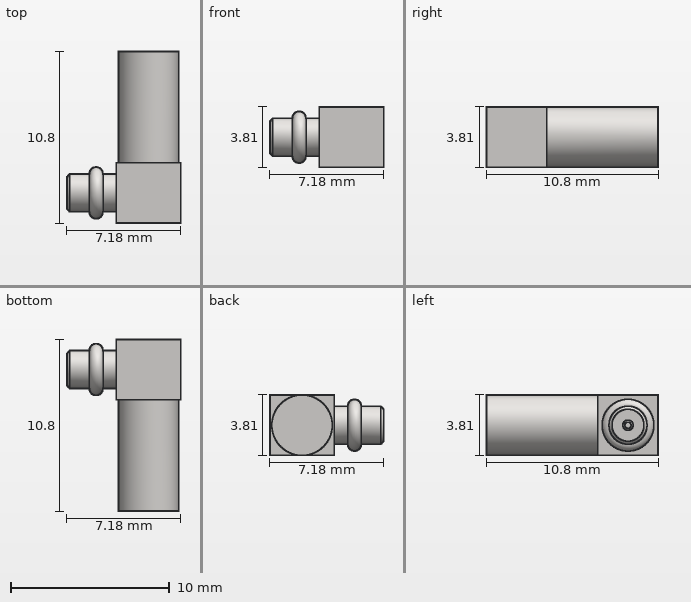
import cadquery as cq

block_size = 3.81
block_length = 4.07

total_length = 10.82
barrel_radius = block_size / 2
barrel_length = total_length - block_size

total_width = 7.18
nozzle_length = total_width - block_length
nozzle_radius = 1.2
nozzle_chamfer = 0.2
bore_radius = nozzle_radius - nozzle_chamfer
bore_depth = 1.3

ring_section_radius = 0.43
ring_offset = 1.85

pin_radius = 0.32
pin_tip_chamfer = 0.13
pin_length = 0.65

nozzle_tip = -nozzle_length
ring_position = nozzle_tip + ring_offset
bore_floor = nozzle_tip + bore_depth
pin_tip = bore_floor - pin_length


def rod_along_x(start, length, radius):
    """Cylinder on the nozzle axis, running towards +X from start."""
    return cq.Workplane("YZ", origin=(start, 0, 0)).circle(radius).extrude(length)


def make_ring():
    """Full torus around the nozzle axis."""
    return (
        cq.Workplane("XZ")
        .center(ring_position, nozzle_radius)
        .circle(ring_section_radius)
        .revolve(360, (0, -nozzle_radius), (1, -nozzle_radius))
    )


def make_pin():
    """Contact pin with a bevelled tip."""
    pin = rod_along_x(pin_tip, pin_length, pin_radius)
    return pin.faces("<X").chamfer(pin_tip_chamfer)


def make_housing():
    """Block with its barrel and hollow nozzle, grooved to seat the snap ring."""
    block = cq.Workplane("XY").box(block_length, block_size, block_size, centered=(False, True, True))
    barrel = (
        cq.Workplane("XZ", origin=(block_length / 2, block_size / 2, 0))
        .circle(barrel_radius)
        .extrude(-barrel_length)
    )
    nozzle = rod_along_x(nozzle_tip, nozzle_length, nozzle_radius)
    nozzle = nozzle.faces("<X").chamfer(nozzle_chamfer)
    bore = rod_along_x(nozzle_tip, bore_depth, bore_radius)
    return block.union(barrel).union(nozzle).cut(bore).cut(make_ring())


housing = make_housing()
ring = make_ring()
pin = make_pin()

result = cq.Compound.makeCompound([housing.val(), ring.val(), pin.val()])